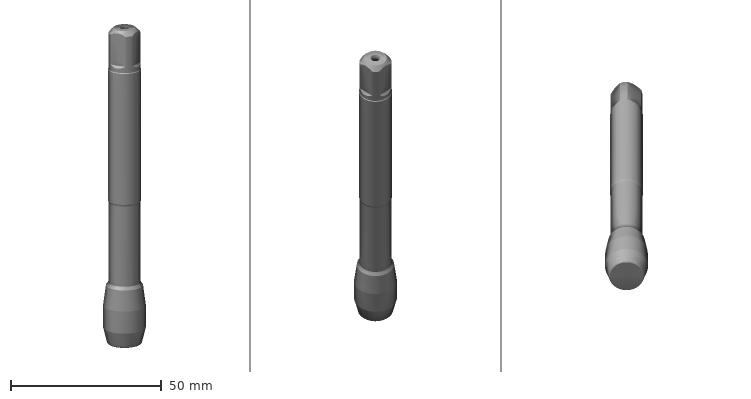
import cadquery as cq
import math

TOTAL_LENGTH = 110.0

HEAD_DIAMETER = 14.2
HEAD_TIP_DIAMETER = 11.7
HEAD_SHOULDER_DIAMETER = 12.3
HEAD_TIP_CHAMFER = 0.3
HEAD_BARREL_BOTTOM_Z = 5.5
HEAD_BARREL_TOP_Z = 13.2
HEAD_SHOULDER_Z = 20.2
HEAD_TOP_Z = 21.3

NECK_DIAMETER = 10.7
NECK_END_Z = 49.3
NECK_CONE_HEIGHT = 0.7
GRIP_DIAMETER = 11.0
GRIP_TOP_Z = 95.8
DRIVE_DIAMETER = 10.6
DRIVE_TOP_DIAMETER = 7.5

SQUARE_WIDTH = 9.0
SQUARE_BOTTOM_Z = 98.0
LEDGE_DROP = 0.8

CENTRE_HOLE_DIAMETER = 2.0
COUNTERSINK_DIAMETER = 3.2
COUNTERSINK_ANGLE = 60.0
CENTRE_HOLE_DEPTH = 3.3
DRILL_POINT_ANGLE = 120.0


def turned(points):
    """Revolve a closed (radius, Z) outline about the Z axis."""
    return cq.Workplane("XZ").polyline(points).close().revolve(360, (0, 0), (0, 1))


def make_head():
    """Barrel tapering both ways, with a chamfered tip and top edge."""
    return turned([
        (0, 0),
        (HEAD_TIP_DIAMETER / 2 - HEAD_TIP_CHAMFER, 0),
        (HEAD_TIP_DIAMETER / 2, HEAD_TIP_CHAMFER),
        (HEAD_DIAMETER / 2, HEAD_BARREL_BOTTOM_Z),
        (HEAD_DIAMETER / 2, HEAD_BARREL_TOP_Z),
        (HEAD_SHOULDER_DIAMETER / 2, HEAD_SHOULDER_Z),
        (NECK_DIAMETER / 2, HEAD_TOP_Z),
        (0, HEAD_TOP_Z),
    ])


def make_shank_blank():
    """Round shank standing on the head, with every edge break turned in."""
    grip_chamfer = (GRIP_DIAMETER - DRIVE_DIAMETER) / 2
    drive_chamfer = (DRIVE_DIAMETER - DRIVE_TOP_DIAMETER) / 2
    return turned([
        (0, HEAD_TOP_Z),
        (NECK_DIAMETER / 2, HEAD_TOP_Z),
        (NECK_DIAMETER / 2, NECK_END_Z),
        (GRIP_DIAMETER / 2, NECK_END_Z + NECK_CONE_HEIGHT),
        (GRIP_DIAMETER / 2, GRIP_TOP_Z - grip_chamfer),
        (DRIVE_DIAMETER / 2, GRIP_TOP_Z),
        (DRIVE_DIAMETER / 2, TOTAL_LENGTH - drive_chamfer),
        (DRIVE_TOP_DIAMETER / 2, TOTAL_LENGTH),
        (0, TOTAL_LENGTH),
    ])


def make_flat_cutter():
    """Material outside the +X flat, above an outward-sloping ledge."""
    flat_x = SQUARE_WIDTH / 2
    round_x = DRIVE_DIAMETER / 2
    return (
        cq.Workplane("XZ")
        .polyline([
            (flat_x, SQUARE_BOTTOM_Z),
            (round_x, SQUARE_BOTTOM_Z - LEDGE_DROP),
            (round_x, TOTAL_LENGTH),
            (flat_x, TOTAL_LENGTH),
        ])
        .close()
        .extrude(DRIVE_DIAMETER / 2, both=True)
    )


def make_centre_hole():
    """Countersunk blind hole with a drill point, on the axis of the top face."""
    hole_radius = CENTRE_HOLE_DIAMETER / 2
    mouth_radius = COUNTERSINK_DIAMETER / 2
    cone_depth = (mouth_radius - hole_radius) / math.tan(math.radians(COUNTERSINK_ANGLE / 2))
    point_depth = hole_radius / math.tan(math.radians(DRILL_POINT_ANGLE / 2))
    return turned([
        (0, TOTAL_LENGTH),
        (mouth_radius, TOTAL_LENGTH),
        (hole_radius, TOTAL_LENGTH - cone_depth),
        (hole_radius, TOTAL_LENGTH - CENTRE_HOLE_DEPTH),
        (0, TOTAL_LENGTH - CENTRE_HOLE_DEPTH - point_depth),
    ])


def make_shank():
    """Shank with a square drive and a centre hole at the top."""
    shank = make_shank_blank()
    flat_cutter = make_flat_cutter()
    for angle in (0, 90, 180, 270):
        shank = shank.cut(flat_cutter.rotate((0, 0, 0), (0, 0, 1), angle))
    return shank.cut(make_centre_hole())


head = make_head()
shank = make_shank()
result = cq.Compound.makeCompound([head.val(), *shank.vals()])